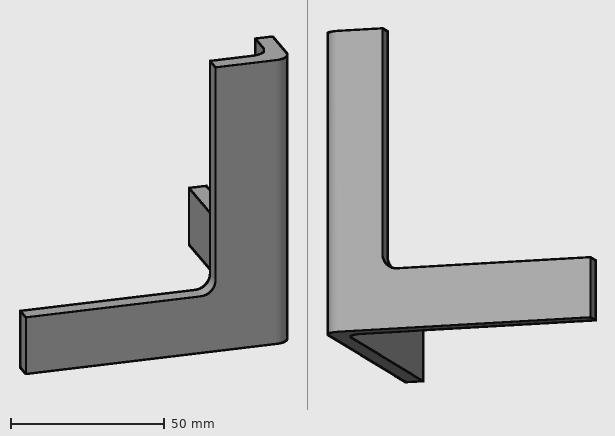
import cadquery as cq

arm_length = 91.0
height = 100.0
thickness = 6.0
foot_height = 20.0
back_post_width = 20.0
side_post_width = 26.0
bend_radius = 5.0
notch_radius = 5.0


def angle_section():
    """Full-height L-shaped wall with its outer corner on the Z axis."""
    section = (
        cq.Workplane("XY")
        .polyline([
            (0, 0),
            (-arm_length, 0),
            (-arm_length, -thickness),
            (-thickness, -thickness),
            (-thickness, -arm_length),
            (0, -arm_length),
        ])
        .close()
        .extrude(height)
    )
    inner_edge = cq.selectors.NearestToPointSelector((-thickness, -thickness, height / 2))
    outer_edge = cq.selectors.NearestToPointSelector((0, 0, height / 2))
    return section.edges(inner_edge).fillet(bend_radius).edges(outer_edge).fillet(bend_radius)


def notch(plane, post_width):
    """Cutter that removes one wall beside its upright and above its foot."""
    return (
        cq.Workplane(plane)
        .moveTo(-post_width, foot_height)
        .lineTo(-arm_length, foot_height)
        .lineTo(-arm_length, height)
        .lineTo(-post_width, height)
        .close()
        .extrude(thickness)
        .edges(cq.selectors.NearestToPointSelector((
            plane.toWorldCoords((-post_width, foot_height, thickness / 2)).toTuple()
        )))
        .fillet(notch_radius)
    )


back_wall = cq.Plane(origin=(0, 0, 0), xDir=(1, 0, 0), normal=(0, -1, 0))
side_wall = cq.Plane(origin=(-thickness, 0, 0), xDir=(0, 1, 0), normal=(1, 0, 0))

result = (
    angle_section()
    .cut(notch(back_wall, back_post_width))
    .cut(notch(side_wall, side_post_width))
)